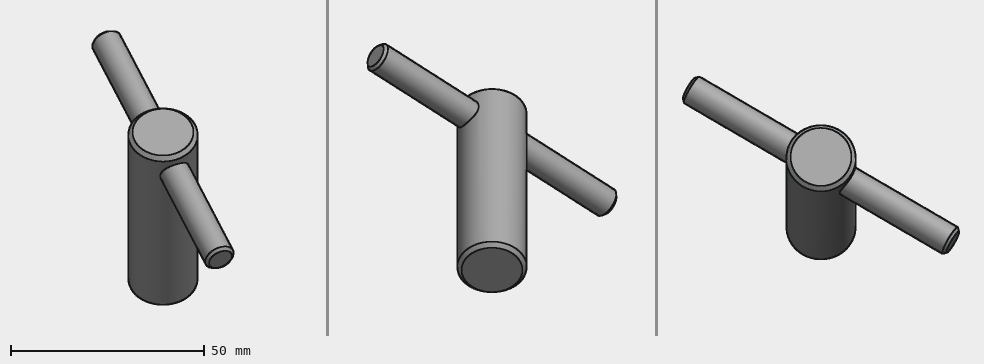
import cadquery as cq

shank_diameter = 18.0
shank_height = 60.0
shank_chamfer = 1.1

handle_length = 80.0
handle_diameter = 8.0
handle_chamfer = 0.8
handle_drop = 7.0


def chamfered_rod(plane, diameter, length, chamfer):
    """Round rod starting on the plane, with both end edges chamfered."""
    rod = cq.Workplane(plane).circle(diameter / 2).extrude(length)
    return rod.edges("%CIRCLE").chamfer(chamfer)


shank = chamfered_rod(cq.Plane.XY(), shank_diameter, shank_height, shank_chamfer)

handle_start = (-handle_length / 2, 0, shank_height - handle_drop)
handle_plane = cq.Plane.YZ(origin=handle_start)
handle = chamfered_rod(handle_plane, handle_diameter, handle_length, handle_chamfer)

result = shank.union(handle)